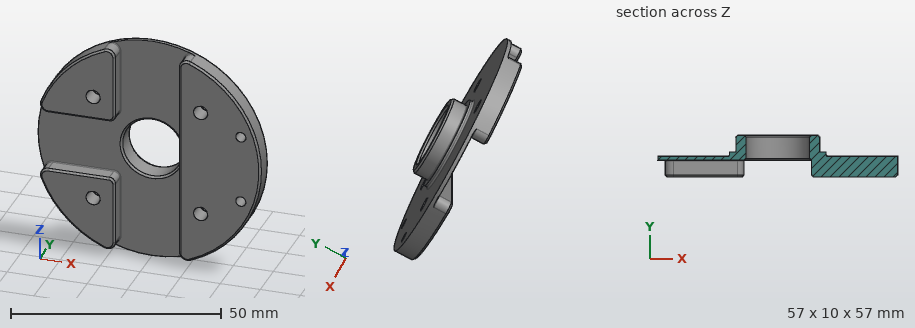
import cadquery as cq
import math

plate_radius = 28.5
plate_thickness = 1.0

pad_height = 4.0
pad_side_x = 8.0
pad_side_z = 7.5
rim_corner_radius = 2.0
inner_corner_radius = 1.5
pad_edge_chamfer = 0.5
pad_root_fillet = 0.2

collar_radius = 11.5
collar_height = 1.0
collar_root_fillet = 0.5
boss_radius = 10.0
boss_height = 5.0
boss_root_fillet = 0.2
boss_chamfer = 0.5

bore_radius = 7.5
bore_chamfer = 0.5
mount_circle_radius = 19.0
mount_angles = (45, 135, 225, 315)
mount_hole_diameter = 3.5
pin_circle_radius = 25.0
pin_angle = 20.0
pin_hole_diameter = 2.5

floor_y = -plate_thickness
pad_face_y = floor_y - pad_height
disc_thickness = plate_thickness + pad_height
plate_diameter = 2 * plate_radius

side_x_rim_z = math.sqrt(plate_radius**2 - pad_side_x**2)
side_z_rim_x = math.sqrt(plate_radius**2 - pad_side_z**2)


def at_angle(radius, degrees):
    """X, Z position on a circle about the part axis."""
    angle = math.radians(degrees)
    return radius * math.cos(angle), radius * math.sin(angle)


def disc(radius, thickness):
    """Disc about the Y axis, from Y = 0 toward -Y."""
    return cq.Workplane("XZ").circle(radius).extrude(thickness)


def layer(size, y_low, y_high):
    """Square slab centred on the Y axis between two Y levels."""
    middle_y = (y_low + y_high) / 2
    return cq.Workplane("XY").box(size, y_high - y_low, size).translate((0, middle_y, 0))


def channels():
    """Full-height channel along Z and a branch running out to -X."""
    floor = cq.Workplane("XZ", origin=(0, floor_y, 0))
    vertical = floor.rect(2 * pad_side_x, plate_diameter).extrude(pad_height)
    branch = floor.center(-plate_radius / 2, 0).rect(plate_radius, 2 * pad_side_z).extrude(pad_height)
    return vertical.union(branch)


def round_pad_corners(body, corners, radius):
    """Round the upright pad edges found at the given X, Z corners."""
    middle_y = (floor_y + pad_face_y) / 2
    for x, z in corners:
        nearest = cq.selectors.NearestToPointSelector((x, middle_y, z))
        body = body.edges("|Y").edges(nearest).fillet(radius)
    return body


def plate_with_pads():
    """Disc with the channels cut in, leaving three pads with rounded corners and chamfered faces."""
    rim_corners = []
    inner_corners = []
    for side in (1, -1):
        rim_corners.append((pad_side_x, side * side_x_rim_z))
        rim_corners.append((-pad_side_x, side * side_x_rim_z))
        rim_corners.append((-side_z_rim_x, side * pad_side_z))
        inner_corners.append((-pad_side_x, side * pad_side_z))
    body = disc(plate_radius, disc_thickness).cut(channels())
    body = round_pad_corners(body, rim_corners, rim_corner_radius)
    body = round_pad_corners(body, inner_corners, inner_corner_radius)
    return body.faces("<Y").chamfer(pad_edge_chamfer)


def pad_roots(body):
    """Concave fillet at the foot of the pads, shaped on a wider plate and trimmed to the rim."""
    pad_feet = body.intersect(layer(plate_diameter, floor_y - pad_height / 2, floor_y))
    half_span = plate_radius + pad_root_fillet
    foot_edges = cq.selectors.BoxSelector(
        (-half_span, floor_y - pad_root_fillet, -half_span),
        (half_span, floor_y + pad_root_fillet, half_span),
        boundingbox=True,
    )
    flared = disc(plate_diameter, plate_thickness).union(pad_feet)
    flared = flared.edges(foot_edges).fillet(pad_root_fillet)
    return flared.intersect(disc(plate_radius, plate_thickness + pad_root_fillet))


def stepped_boss():
    """Collar and boss turned about the Y axis, with concave fillets at both feet."""
    arc_drop = 1 - math.sqrt(0.5)
    return (
        cq.Workplane("XY")
        .moveTo(0, -plate_thickness / 2)
        .lineTo(collar_radius + collar_root_fillet, -plate_thickness / 2)
        .lineTo(collar_radius + collar_root_fillet, 0)
        .threePointArc(
            (collar_radius + arc_drop * collar_root_fillet, arc_drop * collar_root_fillet),
            (collar_radius, collar_root_fillet),
        )
        .lineTo(collar_radius, collar_height)
        .lineTo(boss_radius + boss_root_fillet, collar_height)
        .threePointArc(
            (boss_radius + arc_drop * boss_root_fillet, collar_height + arc_drop * boss_root_fillet),
            (boss_radius, collar_height + boss_root_fillet),
        )
        .lineTo(boss_radius, boss_height - boss_chamfer)
        .lineTo(boss_radius - boss_chamfer, boss_height)
        .lineTo(0, boss_height)
        .close()
        .revolve(360, (0, 0, 0), (0, 1, 0))
    )


def bore():
    """Through bore with a chamfer at both ends."""
    return (
        cq.Workplane("XY")
        .moveTo(0, floor_y)
        .lineTo(bore_radius + bore_chamfer, floor_y)
        .lineTo(bore_radius, floor_y + bore_chamfer)
        .lineTo(bore_radius, boss_height - bore_chamfer)
        .lineTo(bore_radius + bore_chamfer, boss_height)
        .lineTo(0, boss_height)
        .close()
        .revolve(360, (0, 0, 0), (0, 1, 0))
    )


def through_holes(points, diameter):
    """Holes through the plate and pads at the given X, Z positions."""
    return cq.Workplane("XZ").pushPoints(points).circle(diameter / 2).extrude(disc_thickness)


mount_points = [at_angle(mount_circle_radius, angle) for angle in mount_angles]
pin_points = [at_angle(pin_circle_radius, angle) for angle in (pin_angle, -pin_angle)]

result = plate_with_pads()
result = result.union(pad_roots(result))
result = result.union(stepped_boss())
result = result.cut(bore())
result = result.cut(through_holes(mount_points, mount_hole_diameter))
result = result.cut(through_holes(pin_points, pin_hole_diameter))